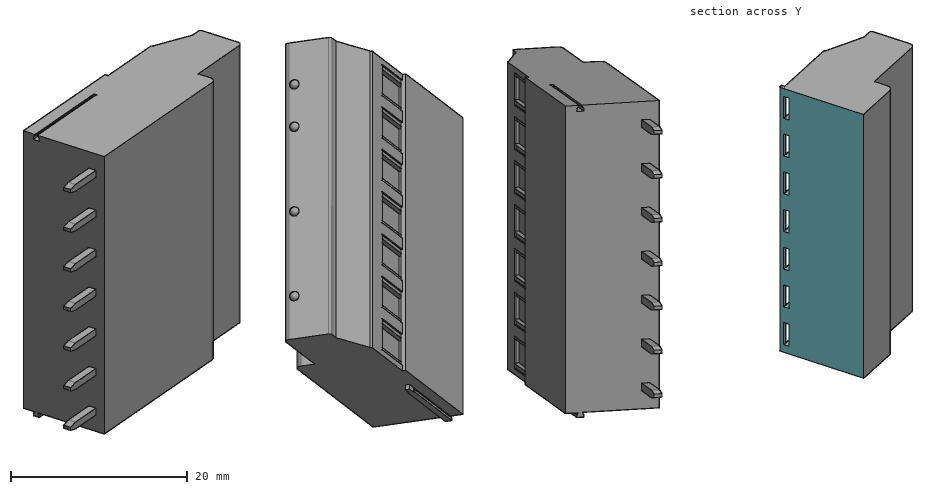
import cadquery as cq

pole_count = 7
pole_span = 30.5
pitch = pole_span / (pole_count - 1)
body_depth = 11.1
body_height = 35.6
body_length = 31.38
first_pole_z = (body_height - pole_span) / 2

base_length = 16.43
recess_x = 0.4
slope_start_x = 0.6
slope_start_y = 25.25
recess_end_y = 25.05
slope_end_y = 29.85
nose_left_x = 2.8
nose_right_x = 8.62
shoulder_y = 22.5
nose_left_radius = 0.3
nose_right_radius = 0.63
shoulder_radius = 0.8

pin_x = 9.47
pin_width = 0.95
pin_thickness = 0.9
pin_length = 5.07
pin_tip_length = 0.95
pin_tip_thickness = 0.4

window_end_y = 22.2
frame_height = 3.75
frame_depth = 0.2
channel_height = 2.9
channel_depth = 0.8
channel_overrun = 0.92

dovetail_x = 1.78
dovetail_length = 11.85
dovetail_width = 0.8
dovetail_lip = 0.3
rail_height = 0.55
rail_neck_width = 0.5
rail_lead_length = 1.1
groove_depth = 0.7
groove_neck_width = 0.35

dome_x = 7.3
dome_radius = 0.55
dome_boundaries = (1, 2, 4, 6)


def make_housing():
    outline = [
        (0, 0),
        (body_depth, 0),
        (body_depth, shoulder_y),
        (nose_right_x, shoulder_y),
        (nose_right_x, body_length),
        (nose_left_x, body_length),
        (nose_left_x, slope_end_y),
        (slope_start_x, slope_start_y),
        (recess_x, recess_end_y),
        (recess_x, base_length),
        (0, base_length),
    ]
    rounded_corners = [
        (body_depth, shoulder_y, shoulder_radius),
        (nose_right_x, body_length, nose_right_radius),
        (nose_left_x, body_length, nose_left_radius),
    ]
    housing = cq.Workplane("XY").polyline(outline).close().extrude(body_height)
    for x, y, radius in rounded_corners:
        corner = cq.selectors.NearestToPointSelector((x, y, body_height / 2))
        housing = housing.edges("|Z").edges(corner).fillet(radius)
    return housing


def make_window(center_z):
    """Cutter for a shallow window that opens into a deeper channel reaching under both its ends."""
    frame_length = window_end_y - base_length
    frame_y = (window_end_y + base_length) / 2
    frame = (
        cq.Workplane("XY")
        .box(frame_depth, frame_length, frame_height, centered=(False, True, True))
        .translate((recess_x, frame_y, center_z))
    )
    channel_length = frame_length + 2 * channel_overrun
    channel = (
        cq.Workplane("XY")
        .box(channel_depth - frame_depth, channel_length, channel_height, centered=(False, True, True))
        .translate((recess_x + frame_depth, frame_y, center_z))
    )
    return frame.union(channel)


def make_pin(center_z):
    """Straight pin whose top and bottom faces taper at the tip."""
    half = pin_thickness / 2
    half_tip = pin_tip_thickness / 2
    taper_y = pin_tip_length - pin_length
    side_outline = [
        (0, -half),
        (taper_y, -half),
        (-pin_length, -half_tip),
        (-pin_length, half_tip),
        (taper_y, half),
        (0, half),
    ]
    return (
        cq.Workplane("YZ")
        .polyline(side_outline)
        .close()
        .extrude(pin_width / 2, both=True)
        .translate((pin_x, 0, center_z))
    )


def make_dovetail(neck_z, height, neck_width, length):
    """Dovetail bar hanging down from neck_z and starting at the front face."""
    lip_z = neck_z - height + dovetail_lip
    bottom_z = neck_z - height
    half_neck = neck_width / 2
    half_wide = dovetail_width / 2
    section = [
        (dovetail_x - half_neck, neck_z),
        (dovetail_x - half_wide, lip_z),
        (dovetail_x - half_wide, bottom_z),
        (dovetail_x + half_wide, bottom_z),
        (dovetail_x + half_wide, lip_z),
        (dovetail_x + half_neck, neck_z),
    ]
    return cq.Workplane("XZ").polyline(section).close().extrude(-length)


def make_rail():
    lead_start_y = dovetail_length - rail_lead_length
    lead = (
        cq.Workplane("XY")
        .box(rail_neck_width, rail_lead_length, rail_height, centered=(True, False, False))
        .translate((dovetail_x, lead_start_y, -rail_height))
    )
    return make_dovetail(0, rail_height, rail_neck_width, lead_start_y).union(lead)


def make_dome(center_z):
    """Half-buried sphere standing out of the rear face."""
    return cq.Workplane("XY").sphere(dome_radius).translate((dome_x, body_length, center_z))


result = make_housing()

for pole in range(pole_count):
    pole_z = first_pole_z + pole * pitch
    result = result.cut(make_window(pole_z))
    result = result.union(make_pin(pole_z))

result = result.cut(make_dovetail(body_height, groove_depth, groove_neck_width, dovetail_length))
result = result.union(make_rail())

for boundary in dome_boundaries:
    result = result.union(make_dome(body_height - boundary * pitch))